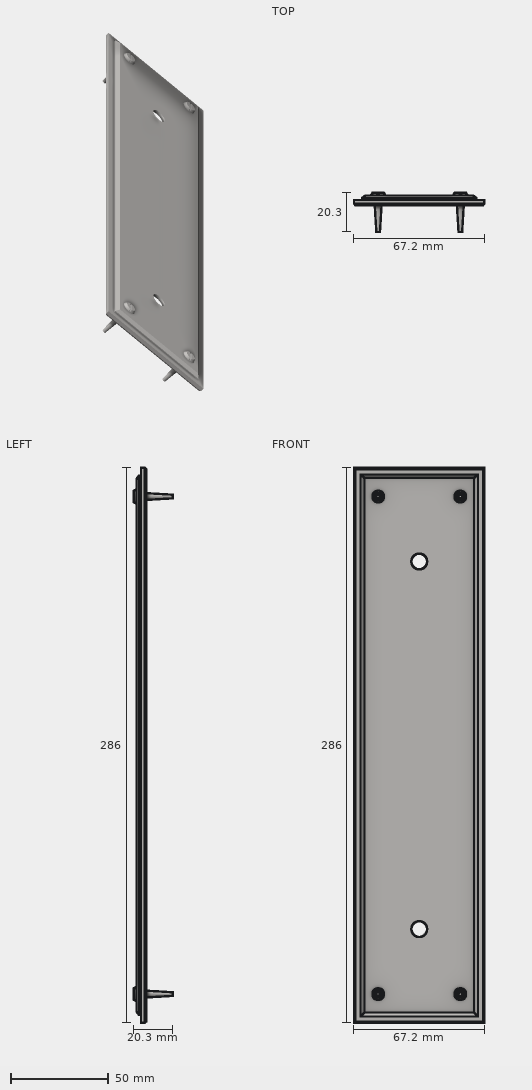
import cadquery as cq

plate_width = 67.2
plate_length = 286.0
overall_depth = 20.3
rim_height = 3.0
rim_chamfer = 1.0
step_height = 1.0
face_height = 5.1
floor_height = 3.5

panel_base_inset = 4.0
panel_top_inset = 6.0
recess_mouth_inset = 3.5
recess_floor_inset = 5.5

hole_diameter = 8.0
hole_offset = 94.7

screw_x = 21.2
screw_z = 128.0
head_diameter = 7.5
head_rise = 1.5
head_flat_diameter = 5.7
shank_diameter = 3.7
tip_diameter = 2.0
tip_reach = overall_depth - face_height - head_rise
cone_end_height = 0.5
slot_width = 1.0
slot_depth = 1.1


def stepped_panel(base_inset, base_y, top_inset, top_y):
    """Rectangular block with an upright step at its foot and sloping sides above it."""
    step_y = base_y + step_height
    foot = (
        cq.Workplane("XZ", origin=(0, base_y, 0))
        .rect(plate_width - 2 * base_inset, plate_length - 2 * base_inset)
        .extrude(-step_height)
    )
    slope = (
        cq.Workplane("XZ", origin=(0, step_y, 0))
        .rect(plate_width - 2 * base_inset, plate_length - 2 * base_inset)
        .workplane(offset=step_y - top_y)
        .rect(plate_width - 2 * top_inset, plate_length - 2 * top_inset)
        .loft(combine=True)
    )
    return foot.union(slope)


def make_screw_blank():
    """Unslotted screw revolved about the Y axis."""
    head_top = face_height + head_rise
    return (
        cq.Workplane("XY")
        .moveTo(0, -tip_reach)
        .lineTo(tip_diameter / 2, -tip_reach)
        .lineTo(shank_diameter / 2, cone_end_height)
        .lineTo(head_diameter / 2, face_height)
        .lineTo(head_flat_diameter / 2, head_top)
        .lineTo(0, head_top)
        .close()
        .revolve(360, (0, 0, 0), (0, 1, 0))
    )


def make_screw():
    """Screw with a slot across its head, running along Z."""
    slot = cq.Workplane("XY").box(slot_width, 2 * slot_depth, head_diameter)
    return make_screw_blank().cut(slot.translate((0, face_height + head_rise, 0)))


def make_plate(screw_places):
    rim = cq.Workplane("XY").box(plate_width, rim_height, plate_length)
    rim = rim.translate((0, rim_height / 2, 0)).faces("<Y").chamfer(rim_chamfer)
    plate = rim.union(stepped_panel(panel_base_inset, rim_height, panel_top_inset, face_height))
    plate = plate.cut(stepped_panel(recess_mouth_inset, 0, recess_floor_inset, floor_height))

    holes = (
        cq.Workplane("XZ")
        .pushPoints([(0, -hole_offset), (0, hole_offset)])
        .circle(hole_diameter / 2)
        .extrude(-face_height)
    )
    plate = plate.cut(holes)
    for place in screw_places:
        plate = plate.cut(make_screw_blank().translate(place))
    return plate


screw_places = [(x, 0, z) for x in (-screw_x, screw_x) for z in (-screw_z, screw_z)]
plate = make_plate(screw_places)
screws = [make_screw().translate(place) for place in screw_places]

result = cq.Compound.makeCompound([plate.val(), *[screw.val() for screw in screws]])